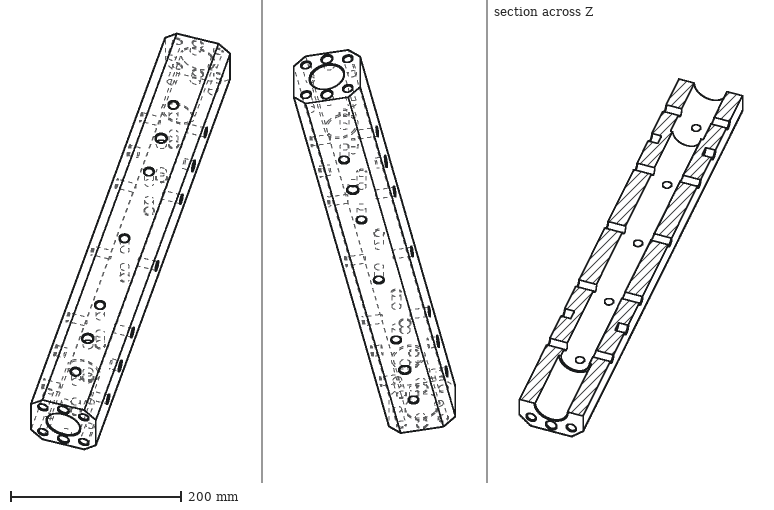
import cadquery as cq
import math

length = 551.0
width = 80.0
bevel = 14.5

bore_diameter = 35.0
socket_diameter = 40.0
socket_depth = 82.5

bolt_diameter = 10.5
dowel_diameter = 12.0
dowel_depth = 12.0
flat_bottom_angle = 180
mouth_chamfer = 1.0

end_bolt_spacing = 50.0
end_bolt_depth = 25.0
drill_point_angle = 118
end_dowel_offset = 30.0

row_centre = -25.0
hole_pitch = 50.0
bolt_steps = (-4, -2, 0, 2, 4)
dowel_steps = (-3, 3)


def hole_cutter(face, u, v, diameter, depth, point_angle=flat_bottom_angle):
    """Solid that cuts a chamfered blind hole at (u, v) on a face, with a conical or flat bottom."""
    radius = diameter / 2
    point_depth = radius / math.tan(math.radians(point_angle / 2))
    outline = [
        (0, 0),
        (radius + mouth_chamfer, 0),
        (radius, -mouth_chamfer),
        (radius, -depth),
        (0, -depth - point_depth),
    ]
    cutter = cq.Workplane("XY").polyline(outline).close().revolve(360, (0, 0, 0), (0, 1, 0))
    upright = cutter.rotate((0, 0, 0), (1, 0, 0), 90).translate((u, v, 0))
    return upright.val().moved(cq.Location(face))


def end_cutters(side):
    """Socket, bolt hole and dowel hole cutters for the -Y (side = -1) or +Y (side = 1) end face."""
    face = cq.Plane(origin=(0, side * length / 2, 0), xDir=(1, 0, 0), normal=(0, side, 0))
    cutters = [hole_cutter(face, 0, 0, socket_diameter, socket_depth)]
    for v_side in (-1, 1):
        cutters.append(hole_cutter(face, 0, v_side * end_dowel_offset, dowel_diameter, dowel_depth))
        for u_side in (-1, 1):
            u = u_side * end_bolt_spacing / 2
            v = v_side * end_bolt_spacing / 2
            cutters.append(hole_cutter(face, u, v, bolt_diameter, end_bolt_depth, drill_point_angle))
    return cutters


def row_position(step):
    """Place along Y of the hole that lies this many pitches from the row centre."""
    return row_centre + step * hole_pitch


def side_cutters(normal):
    """Bolt hole and dowel hole cutters for the long side facing along normal."""
    outward = cq.Vector(*normal)
    face = cq.Plane(origin=(outward * (width / 2)).toTuple(), xDir=(0, 1, 0), normal=normal)
    cutters = []
    for step in bolt_steps:
        cutters.append(hole_cutter(face, row_position(step), 0, bolt_diameter, width / 2))
    for step in dowel_steps:
        cutters.append(hole_cutter(face, row_position(step), 0, dowel_diameter, dowel_depth))
    return cutters


bar = cq.Workplane("XY").box(width, length, width).edges("|Y").chamfer(bevel)
bore = cq.Workplane("XZ").circle(bore_diameter / 2).extrude(length / 2, both=True)

cutters = end_cutters(-1) + end_cutters(1)
for side_normal in ((-1, 0, 0), (1, 0, 0), (0, 0, -1), (0, 0, 1)):
    cutters += side_cutters(side_normal)

result = bar.cut(bore)
for cutter in cutters:
    result = result.cut(cq.Workplane(cutter))